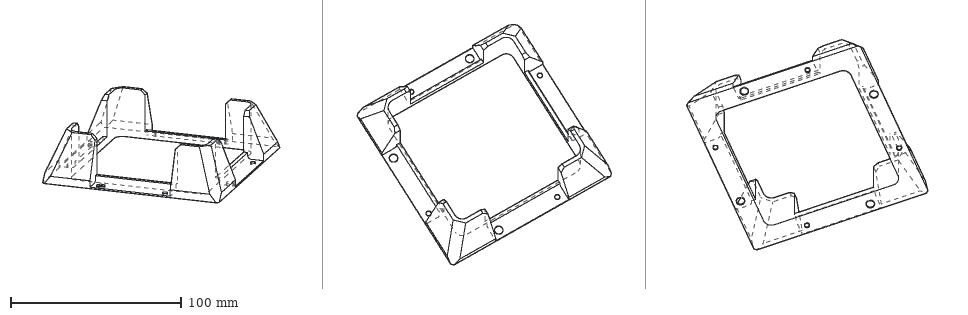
import cadquery as cq
import math

side = 110.0
height = 30.0
base_height = 5.0
top_inset = 10.0
opening_inset = 12.5
opening_corner_radius = 5.0

corner_cut_bottom = 1.4
corner_cut_top = 25.4

gap_width = 49.9
post_chamfer = 2.9

floor_height = 1.0
rail_fillet = 2.2

small_diameter = 3.0
large_diameter = 5.0
hole_inset = 5.0
hole_offset = 20.0

half_side = side / 2
half_gap = gap_width / 2
wall_position = half_side - top_inset
side_angles = (0, 90, 180, 270)


def turned(shape, angle):
    """Turn a shape about the vertical centre line."""
    return shape.rotate((0, 0, 0), (0, 0, 1), angle)


def frustum(bottom_size, top_size, bottom_z):
    """Square block from bottom_z to the full height, with evenly sloping sides."""
    rise = height - bottom_z
    slope = math.degrees(math.atan2((bottom_size - top_size) / 2, rise))
    return (
        cq.Workplane(origin=(0, 0, bottom_z))
        .rect(bottom_size, bottom_size)
        .extrude(rise, taper=slope)
    )


def outer_body():
    """Straight base and tapered upper part, with one sloping flat across each corner."""
    base = cq.Workplane().rect(side, side).extrude(base_height)
    upper = frustum(side, side - 2 * top_inset, base_height)
    diagonal_bottom = math.sqrt(2) * (side - corner_cut_bottom)
    diagonal_top = math.sqrt(2) * (side - corner_cut_top)
    corner_flats = turned(frustum(diagonal_bottom, diagonal_top, 0), 45)
    return base.union(upper).intersect(corner_flats)


def opening():
    """Square through opening with rounded corners."""
    size = side - 2 * opening_inset
    return cq.Workplane().rect(size, size).extrude(height).edges("|Z").fillet(opening_corner_radius)


def post_gap():
    """Space between two posts, flaring at the top to chamfer them."""
    return (
        cq.Workplane("XZ")
        .moveTo(-half_gap, base_height)
        .lineTo(half_gap, base_height)
        .lineTo(half_gap, height - post_chamfer)
        .lineTo(half_gap + post_chamfer, height)
        .lineTo(-half_gap - post_chamfer, height)
        .lineTo(-half_gap, height - post_chamfer)
        .close()
        .extrude(half_side)
    )


def rail_recess():
    """Recess along the -Y side, leaving a thin floor and an inner lip with a curved foot."""
    return (
        cq.Workplane("YZ", origin=(-half_gap, 0, 0))
        .moveTo(-half_side, floor_height)
        .lineTo(-wall_position - rail_fillet, floor_height)
        .radiusArc((-wall_position, floor_height + rail_fillet), -rail_fillet)
        .lineTo(-wall_position, base_height)
        .lineTo(-half_side, base_height)
        .close()
        .extrude(gap_width)
    )


def rail_hole(x, diameter):
    """Through hole in the floor of the -Y rail."""
    return cq.Workplane().center(x, hole_inset - half_side).circle(diameter / 2).extrude(height)


result = outer_body().cut(opening())
side_cutters = (
    post_gap(),
    rail_recess(),
    rail_hole(-hole_offset, large_diameter),
    rail_hole(hole_offset, small_diameter),
)
for angle in side_angles:
    for cutter in side_cutters:
        result = result.cut(turned(cutter, angle))